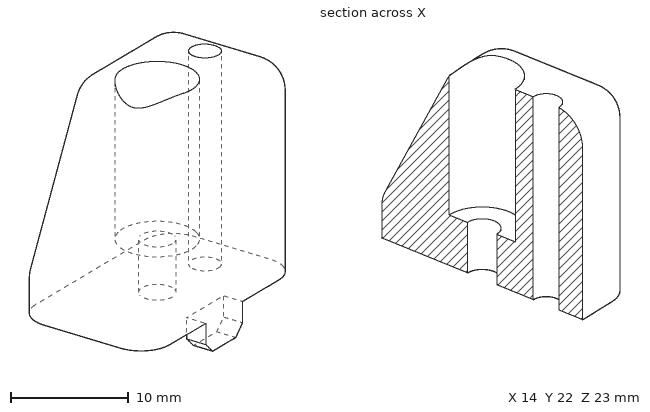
import cadquery as cq

width = 14.0
depth = 22.0
height = 20.0
top_depth = 14.0
front_wall_height = 4.0
edge_radius = 3.0

screw_diameter = 3.2
head_diameter = 7.2
head_floor_height = 5.0

pin_diameter = 2.8
pin_back_distance = 4.0

tab_thickness = 2.0
tab_length = 5.4
tab_drop = 3.0
tab_chamfer = 1.0

front_y = -depth / 2
back_y = depth / 2


def make_body():
    """Extrude the side profile across X and round every edge above the base."""
    profile = [
        (back_y, 0),
        (back_y, height),
        (back_y - top_depth, height),
        (front_y, front_wall_height),
        (front_y, 0),
    ]
    block = cq.Workplane("YZ").polyline(profile).close().extrude(width / 2, both=True)
    return block.edges("not <Z").fillet(edge_radius)


def make_hole(diameter, y, floor=0.0):
    """Vertical cylinder at X = 0 from the floor height up to the top plane."""
    return cq.Workplane("XY", origin=(0, y, floor)).circle(diameter / 2).extrude(height - floor)


def make_tab():
    """Flat tab below the base with its two lower ends chamfered."""
    tab = cq.Workplane("XY").box(tab_thickness, tab_length, tab_drop)
    tab = tab.edges("<Z and |X").chamfer(tab_chamfer)
    return tab.translate(((width - tab_thickness) / 2, 0, -tab_drop / 2))


screw_hole = make_hole(screw_diameter, 0)
head_recess = make_hole(head_diameter, 0, head_floor_height)
pin_hole = make_hole(pin_diameter, back_y - pin_back_distance)

result = make_body().cut(screw_hole).cut(head_recess).cut(pin_hole).union(make_tab())